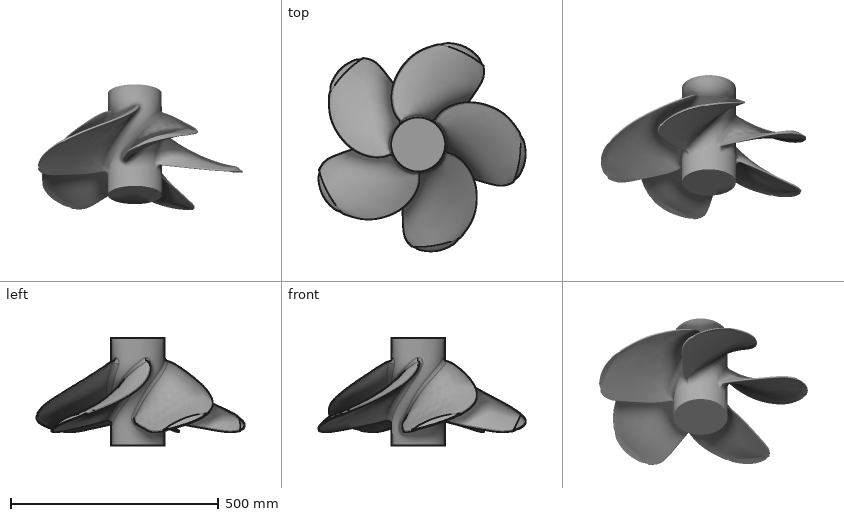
import cadquery as cq
import math

shapes = cq.occ_impl.shapes

AXIS_START = (0, 0, 0)
AXIS_END = (0, 0, 1)

HUB_RADIUS = 65.0
HUB_HEIGHT = 260.13
ROOT_FILLET = 10.0

BLADE_COUNT = 5
PITCH = 520.0
ROOT_OFFSET = 335.5
RAKE_SLOPE = 0.49
RAKE_CURVE = 0.00088
ROOT_THICKNESS = 28.0
ROOT_CAMBER = 2.0
CAP_CAMBER = 7.0
CROWN_THICKNESS = 8.0
EDGE_THICKNESS = 4.5
TIP_EDGE_THICKNESS = 2.0
TIP_BULGE = 14.0
SECTION_SPANS = 8

OUTLINE = [
    (50.0, -93.0, -189.0),
    (65.0, -90.0, -187.5),
    (90.0, -88.7, -184.5),
    (120.0, -94.0, -180.5),
    (155.0, -103.0, -176.2),
    (190.0, -113.9, -173.3),
    (220.0, -124.6, -170.9),
    (247.0, -137.6, -165.6),
]
CAP_RADIUS, CAP_LEADING, CAP_TRAILING = OUTLINE[-1]


def helix_height(radius, angle):
    """Height of the blade's middle surface at a radius and an angle in degrees."""
    out = radius - HUB_RADIUS
    rake = RAKE_CURVE * out**2 - RAKE_SLOPE * out
    return PITCH * angle / 360 + ROOT_OFFSET + rake


def blade_point(radius, angle, offset, advance=0.0):
    """Point offset square to the middle surface, and moved along the chord by advance."""
    slope = math.atan2(PITCH, 2 * math.pi * radius)
    sideways = advance * math.cos(slope) - offset * math.sin(slope)
    upward = advance * math.sin(slope) + offset * math.cos(slope)
    turn = math.radians(angle) + sideways / radius
    height = helix_height(radius, angle) + upward
    return cq.Vector(radius * math.cos(turn), radius * math.sin(turn), height)


def section_edges(radius, leading, trailing, crown, edge, camber=0.0, bulge=0.0):
    """Closed section: upper side, round trailing edge, lower side, round leading edge."""
    chord = math.hypot(radius, PITCH / (2 * math.pi)) * math.radians(leading - trailing)
    side_slope = math.atan(2 * (crown - edge) / chord)
    nose = edge / 2 * math.tan(math.pi / 4 - side_slope / 2)
    inset = (leading - trailing) * nose / chord
    start = leading - inset
    end = trailing + inset
    upper = []
    lower = []
    for step in range(SECTION_SPANS + 1):
        part = step / SECTION_SPANS
        arch = 4 * part * (1 - part)
        half = (edge + (crown - edge) * arch) / 2
        angle = start + (end - start) * part
        local_radius = radius + bulge * arch
        upper.append(blade_point(local_radius, angle, camber * arch + half))
        lower.append(blade_point(local_radius, angle, camber * arch - half))
    front_tip = blade_point(radius, start, 0, nose)
    back_tip = blade_point(radius, end, 0, -nose)
    front = cq.Edge.makeThreePointArc(lower[0], front_tip, upper[0])
    back = cq.Edge.makeThreePointArc(upper[-1], back_tip, lower[-1])
    upper_side = cq.Edge.makeSpline(upper, tangents=[front.tangentAt(1), back.tangentAt(0)])
    lower_side = cq.Edge.makeSpline(lower, tangents=[-front.tangentAt(0), -back.tangentAt(1)])
    return [upper_side, back, lower_side, front]


def taper(radius, root_value, cap_value):
    """Value that changes evenly from the hub to the start of the tip cap."""
    part = (radius - HUB_RADIUS) / (CAP_RADIUS - HUB_RADIUS)
    return root_value + (cap_value - root_value) * part


def outline_section(radius, leading, trailing):
    """Section of the main blade on one cylinder about Z."""
    crown = taper(radius, ROOT_THICKNESS, CROWN_THICKNESS)
    camber = taper(radius, ROOT_CAMBER, CAP_CAMBER)
    return section_edges(radius, leading, trailing, crown, EDGE_THICKNESS, camber)


def end_faces(section):
    """Faces closing a section: a ruled strip between its sides and two small flat ends."""
    upper, back, lower, front = section
    faces = [cq.Face.makeRuledSurface(upper, lower)]
    for nose in (back, front):
        chord = cq.Edge.makeLine(nose.endPoint(), nose.startPoint())
        faces.append(cq.Face.makeFromWires(cq.Wire.assembleEdges([nose, chord])))
    return faces


def make_blade():
    """One blade: a smooth body through the sections and a tip cap drawn to a thin edge."""
    sections = [outline_section(*station) for station in OUTLINE]
    tip = section_edges(
        CAP_RADIUS, CAP_LEADING, CAP_TRAILING, TIP_EDGE_THICKNESS, TIP_EDGE_THICKNESS, bulge=TIP_BULGE
    )
    wires = [cq.Wire.assembleEdges(section) for section in sections]
    body = shapes.loft(*wires)
    cap = shapes.loft(wires[-1], cq.Wire.assembleEdges(tip), ruled=True)
    skin = [*body.Faces(), *cap.Faces(), *end_faces(sections[0]), *end_faces(tip)]
    return shapes.solid(shapes.shell(*skin))


def is_root_edge(edge):
    """True for the curves where a blade meets the hub's round side."""
    box = edge.BoundingBox()
    points = edge.positions([0, 0.5, 1])
    on_hub = all(abs(math.hypot(p.x, p.y) - HUB_RADIUS) < 0.05 for p in points)
    return on_hub and 1 < box.zmin and box.zmax < HUB_HEIGHT - 1


def make_rooted_blade(hub):
    """One blade with the blend round its root, and a round patch where it meets the hub."""
    joined = hub.fuse(make_blade()).Solids()[0]
    root_edges = [edge for edge in joined.Edges() if is_root_edge(edge)]
    return joined.fillet(ROOT_FILLET, root_edges).cut(hub)


def all_round(faces):
    """Copies of the faces at every blade position."""
    step = 360 / BLADE_COUNT
    return [face.rotate(AXIS_START, AXIS_END, step * index) for index in range(BLADE_COUNT) for face in faces]


def make_propeller():
    """Join the skins of hub and blades; the blades never touch each other, only the hub."""
    hub = cq.Solid.makeCylinder(HUB_RADIUS, HUB_HEIGHT)
    blade = cq.Workplane(make_rooted_blade(hub))
    hub_side = hub.faces("%CYLINDER").cut(*all_round(blade.faces("%CYLINDER").vals()))
    blade_skins = all_round(blade.faces("not %CYLINDER").vals())
    skin = [*hub_side.Faces(), *hub.faces("%PLANE").Faces(), *blade_skins]
    return shapes.solid(shapes.shell(*skin))


result = cq.Workplane(make_propeller())